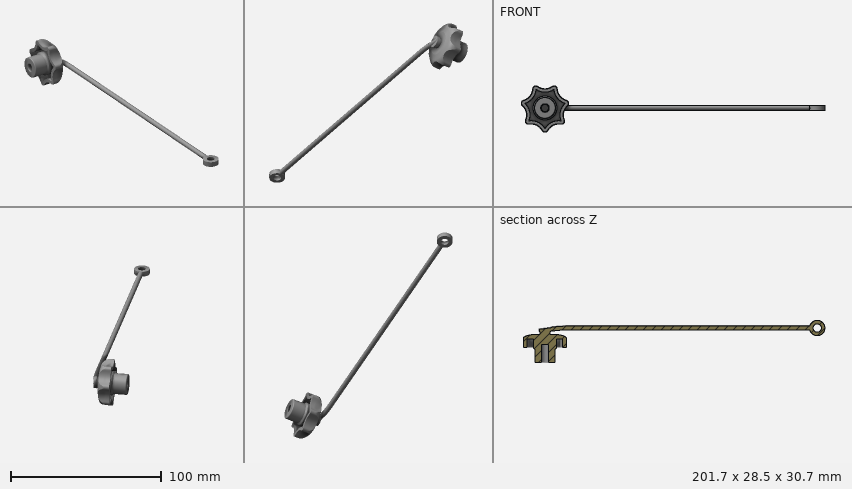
import cadquery as cq
import math

total_length = 201.7
total_depth = 28.5

lobe_count = 7
half_pitch = math.pi / lobe_count
wheel_height = 30.7
lobe_radius = 2.0
lobe_center_radius = (wheel_height - 2 * lobe_radius) / (1 + math.cos(half_pitch))
valley_radius = 8.0
valley_floor_radius = 12.7
wheel_radius = lobe_center_radius + lobe_radius
first_lobe_angle = -math.pi / 2

rim_face = 10.0
rim_wall = 3.2
wheel_back = 19.2
flat_radius = 8.0
shoulder_radius = 11.7
shoulder_drop = 0.8
shoulder_bulge = 1.1
rim_thickness = 2.2
pocket_depth = 5.6

hub_radius = 14.0 / 2
hub_base_radius = 16.0 / 2
flare_length = hub_base_radius - hub_radius
hub_edge_fillet = 0.6
bore_radius = 4.8 / 2
bore_chamfer = 0.5
bore_depth = 12.0

rod_radius = 3.5 / 2
rod_embed = 0.8
eye_radius = 5.2
eye_hole_radius = 5.2 / 2
eye_thickness = 3.5
disc_radius = 8.0 / 2
disc_front = 20.5
disc_back = 22.5
pin_radius = 7.3 / 2
bend_start = 15.0
bend_end = 4.6
bend_radius = 72.5
tail_radius = 3.0 / 2
tail_length = 7.3
arm_y = total_depth - eye_radius


def polar(radius, angle):
    return (radius * math.cos(angle), radius * math.sin(angle))


def shifted(point, radius, angle):
    step = polar(radius, angle)
    return (point[0] + step[0], point[1] + step[1])


def disc(radius, y_start, y_end):
    """Cylinder about the wheel axis between two Y positions."""
    return cq.Workplane("XZ", origin=(0, y_start, 0)).circle(radius).extrude(y_start - y_end)


def lobed_prism(inset, y_start, y_end):
    """Prism of the lobed outline along Y, moved inward by the inset; a large inset gives pointed lobes."""
    valley_center_radius = valley_floor_radius + valley_radius
    along = valley_center_radius - lobe_center_radius * math.cos(half_pitch)
    across = lobe_center_radius * math.sin(half_pitch)
    spacing = math.hypot(along, across)
    flank_angle = math.atan2(across, along) - math.acos((lobe_radius + valley_radius) / spacing)
    lobe_turn = half_pitch + flank_angle
    tip_radius = lobe_radius - inset

    outline = cq.Workplane("XZ", origin=(0, y_start, 0))
    for index in range(lobe_count):
        lobe_angle = first_lobe_angle + 2 * half_pitch * index
        valley_angle = lobe_angle + half_pitch
        lobe_center = polar(lobe_center_radius, lobe_angle)
        valley_center = polar(valley_center_radius, valley_angle)
        if tip_radius > 0:
            lobe_start, lobe_top, lobe_end = [
                shifted(lobe_center, tip_radius, lobe_angle + turn) for turn in (-lobe_turn, 0, lobe_turn)
            ]
        else:
            lobe_start = shifted(lobe_center, tip_radius / math.cos(lobe_turn), lobe_angle)
        outline = outline.moveTo(*lobe_start) if index == 0 else outline.lineTo(*lobe_start)
        if tip_radius > 0:
            outline = outline.threePointArc(lobe_top, lobe_end)
        valley_start, valley_floor, valley_end = [
            shifted(valley_center, valley_radius + inset, valley_angle + math.pi + turn)
            for turn in (flank_angle, 0, -flank_angle)
        ]
        outline = outline.lineTo(*valley_start).threePointArc(valley_floor, valley_end)
    return outline.close().extrude(y_start - y_end)


def make_wheel():
    """Lobed wheel with a domed back and a hollow front around the hub."""
    shoulder_y = wheel_back - shoulder_drop
    wall_end = rim_face + rim_wall
    arc_middle = (
        (shoulder_radius + wheel_radius) / 2 + shoulder_bulge / math.sqrt(2),
        (shoulder_y + wall_end) / 2 + shoulder_bulge / math.sqrt(2),
    )
    dome = (
        cq.Workplane("XY")
        .moveTo(0, rim_face)
        .lineTo(wheel_radius, rim_face)
        .lineTo(wheel_radius, wall_end)
        .threePointArc(arc_middle, (shoulder_radius, shoulder_y))
        .lineTo(flat_radius, wheel_back)
        .lineTo(0, wheel_back)
        .close()
        .revolve(360, (0, 0, 0), (0, 1, 0))
    )
    body = lobed_prism(0, rim_face, wheel_back).intersect(dome)
    pocket = lobed_prism(rim_thickness, rim_face, rim_face + pocket_depth)
    return body.cut(pocket)


def make_hub():
    """Stepped hub: a wide base in the pocket flares down to the front cylinder."""
    front = disc(hub_radius, 0, wheel_back).faces("<Y").edges().fillet(hub_edge_fillet)
    flare = (
        cq.Workplane("XY")
        .moveTo(0, rim_face - flare_length)
        .lineTo(hub_radius, rim_face - flare_length)
        .lineTo(hub_base_radius, rim_face)
        .lineTo(hub_base_radius, rim_face + pocket_depth)
        .lineTo(0, rim_face + pocket_depth)
        .close()
        .revolve(360, (0, 0, 0), (0, 1, 0))
    )
    return front.union(flare)


def make_bore():
    """Blind bore with a chamfered mouth."""
    mouth_radius = bore_radius + bore_chamfer
    return (
        cq.Workplane("XY")
        .lineTo(mouth_radius, 0)
        .lineTo(bore_radius, bore_chamfer)
        .lineTo(bore_radius, bore_depth)
        .lineTo(0, bore_depth)
        .close()
        .revolve(360, (0, 0, 0), (0, 1, 0))
    )


def make_arm(eye_x):
    """Straight rod, gentle bend toward the wheel, and a thinner tail lying on the disc."""
    rod = cq.Workplane("YZ", origin=(bend_start, arm_y, 0)).circle(rod_radius)
    rod = rod.extrude(eye_x - eye_radius + rod_embed - bend_start)

    bend_angle = math.asin((bend_start - bend_end) / bend_radius)

    def bend_point(angle):
        return (
            bend_start - bend_radius * math.sin(angle),
            arm_y - bend_radius * (1 - math.cos(angle)),
        )

    path = cq.Workplane("XY").moveTo(bend_start, arm_y)
    path = path.threePointArc(bend_point(bend_angle / 2), bend_point(bend_angle))
    bend = cq.Workplane("YZ", origin=(bend_start, arm_y, 0)).circle(rod_radius).sweep(path)

    tail_direction = cq.Vector(-math.cos(bend_angle), -math.sin(bend_angle), 0)
    tail_start = cq.Vector(*bend_point(bend_angle), 0)
    tail = cq.Solid.makeCylinder(tail_radius, tail_length, tail_start, tail_direction)
    return rod.union(bend).union(tail)


def make_eye(eye_x):
    """Flat ring blank at the free end, its axis along Z."""
    blank = cq.Workplane("XY", origin=(eye_x, arm_y, 0)).circle(eye_radius)
    return blank.extrude(eye_thickness / 2, both=True)


wheel_half_width = lobe_center_radius * math.cos(half_pitch / 2) + lobe_radius
eye_center_x = total_length - wheel_half_width - eye_radius
eye_hole = (
    cq.Workplane("XY", origin=(eye_center_x, arm_y, 0))
    .circle(eye_hole_radius)
    .extrude(eye_thickness, both=True)
)

result = (
    make_wheel()
    .union(make_hub())
    .cut(make_bore())
    .union(disc(pin_radius, wheel_back, disc_front))
    .union(disc(disc_radius, disc_front, disc_back))
    .union(make_arm(eye_center_x))
    .union(make_eye(eye_center_x))
    .cut(eye_hole)
)